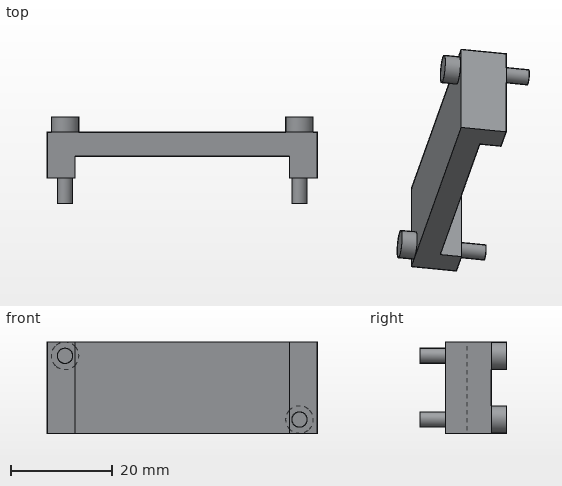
import cadquery as cq

length = 53.0
height = 18.0
body_depth = 9.0
plate_thickness = 4.75
leg_width = 5.5

screw_spacing = 46.0
screw_edge_offset = 2.75
shank_diameter = 3.0
shank_projection = 5.0
head_diameter = 5.4
head_height = 3.0


def make_body():
    """Channel-shaped body, open toward -Y, with its back face on Y = 0."""
    block = cq.Workplane("XY").box(length, body_depth, height).translate((0, -body_depth / 2, 0))
    recess_depth = body_depth - plate_thickness
    recess = (
        cq.Workplane("XY")
        .box(length - 2 * leg_width, recess_depth, height)
        .translate((0, -plate_thickness - recess_depth / 2, 0))
    )
    return block.cut(recess)


def make_screw(x, z):
    """Screw along Y: head on the back face, shank projecting past the leg."""
    head = cq.Workplane("XZ", origin=(x, 0, z)).circle(head_diameter / 2).extrude(-head_height)
    shank_length = body_depth + shank_projection
    shank = cq.Workplane("XZ", origin=(x, 0, z)).circle(shank_diameter / 2).extrude(shank_length)
    return head.union(shank)


screw_x = screw_spacing / 2
screw_z = height / 2 - screw_edge_offset

result = make_body()
for side in (-1, 1):
    result = result.union(make_screw(side * screw_x, -side * screw_z))